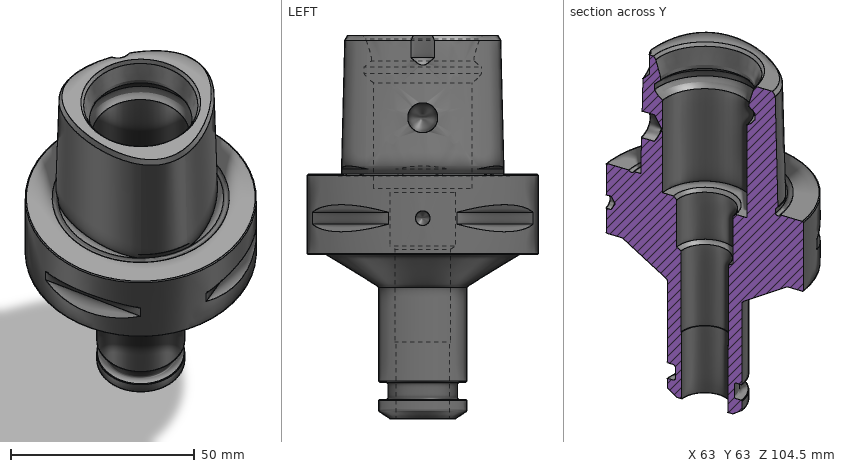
import cadquery as cq
import math

total_height = 104.5
flange_bottom_z = 44.7
flange_top_z = 66.7
taper_bottom_z = 68.9
taper_top_z = 103.1

lobe_mean_radius = 21.9
lobe_offset = 1.5
taper_per_height = 1 / 40
top_chamfer_inset = 0.8
lobe_half_angle = 20
points_per_stretch = 9

flange_radius = 63.0 / 2
flange_edge_chamfer = 0.3
relief_outer_radius = 24.1
relief_inner_radius = 22.6
relief_depth = 0.5
relief_chamfer = 0.8

cone_top_radius = 26.3
cone_bottom_radius = 12.5
cone_bottom_z = 36.3
pilot_radius = 24 / 2
pilot_start_z = 35.7
pilot_end_chamfer = 0.3
neck_radius = 9.5
neck_bottom_z = 5.2
neck_top_z = 9.9
neck_corner = 0.5
head_edge_chamfer = 0.2
head_round_radius = 0.8
head_round_top_z = 2.4
head_round_inset = 0.4
head_round_bottom_z = 1.8
head_end_radius = 17.9 / 2

gripper_count = 4
gripper_mid_z = 54.7
gripper_floor_distance = 27.9
gripper_floor_height = 3.2
gripper_flank_angle = 30

lip_chamfer_radius = 16.3
mouth_radius = 15.6
mouth_z = 103.6
lip_radius = 28.0 / 2
lip_top_z = 98.5
lip_bottom_z = 97.5
clamp_groove_radius = 32.0 / 2
clamp_groove_top_z = 95.8
clamp_groove_bottom_z = 94.0
clamp_flank_radius = 14.9
clamp_flank_z = 92.7
bore_radius = 13.4
bore_top_z = 91.5
bore_floor_z = 62.7
screw_mouth_radius = 9.9
screw_hole_radius = 17.9 / 2
screw_hole_bottom_z = 47.0
upper_through_radius = 15.0 / 2
lower_through_radius = 7.3
through_step_z = 20.9

drill_tip_angle = 118
key_hole_diameter = 8.2
key_hole_z = 82.0
key_hole_bottom_x = -16.1
mark_hole_diameter = 4.0
mark_hole_z = gripper_mid_z
mark_hole_bottom_x = -29.9
notch_diameter = 7.4
notch_axis_x = -21.4
notch_bottom_z = 98.4
notch_tip_angle = 90


def lobe_point(mean_radius, angle_deg, z):
    """Point on the three-lobed outline, with one lobe pointing along +X."""
    angle = math.radians(angle_deg)
    x = mean_radius * math.cos(angle) + lobe_offset * math.cos(2 * angle)
    y = mean_radius * math.sin(angle) - lobe_offset * math.sin(2 * angle)
    return cq.Vector(x, y, z)


def lobe_wire(mean_radius, z):
    """Closed outline made of three lobes and the three flatter stretches between them."""
    edges = []
    for lobe_angle in (0, 120, 240):
        lobe_start = lobe_angle - lobe_half_angle
        lobe_end = lobe_angle + lobe_half_angle
        for start, end in ((lobe_start, lobe_end), (lobe_end, lobe_start + 120)):
            step = (end - start) / (points_per_stretch - 1)
            points = [lobe_point(mean_radius, start + i * step, z) for i in range(points_per_stretch)]
            edges.append(cq.Edge.makeSpline(points))
    return cq.Wire.assembleEdges(edges)


def lobe_loft(bottom_radius, bottom_z, top_radius, top_z):
    wires = [lobe_wire(bottom_radius, bottom_z), lobe_wire(top_radius, top_z)]
    return cq.Workplane(cq.Solid.makeLoft(wires, True))


def revolve_profile(profile):
    return profile.close().revolve(360, (0, 0, 0), (0, 1, 0))


def make_taper_shank():
    top_radius = lobe_mean_radius - (taper_top_z - taper_bottom_z) * taper_per_height
    root = lobe_loft(lobe_mean_radius, flange_bottom_z, lobe_mean_radius, taper_bottom_z)
    taper = lobe_loft(lobe_mean_radius, taper_bottom_z, top_radius, taper_top_z)
    chamfer = lobe_loft(top_radius, taper_top_z, top_radius - top_chamfer_inset, total_height)
    return root.union(taper).union(chamfer)


def make_relief_cutter():
    """Ring that rounds the foot of the lobes and dips into the flange top."""
    outer_top_radius = relief_outer_radius + (taper_bottom_z - flange_top_z)
    profile = (
        cq.Workplane("XZ")
        .moveTo(relief_inner_radius, flange_top_z)
        .threePointArc(
            ((relief_inner_radius + relief_outer_radius) / 2, flange_top_z - relief_depth),
            (relief_outer_radius, flange_top_z),
        )
        .lineTo(outer_top_radius, taper_bottom_z)
        .lineTo(relief_inner_radius + relief_chamfer, taper_bottom_z)
        .lineTo(relief_inner_radius, taper_bottom_z - relief_chamfer)
    )
    return revolve_profile(profile)


def make_flange_and_pilot():
    flange_inset = flange_radius - flange_edge_chamfer
    profile = (
        cq.Workplane("XZ")
        .lineTo(head_end_radius, 0)
        .lineTo(pilot_radius - head_round_inset, head_round_bottom_z)
        .radiusArc((pilot_radius, head_round_top_z), -head_round_radius)
        .lineTo(pilot_radius, neck_bottom_z - head_edge_chamfer)
        .lineTo(pilot_radius - head_edge_chamfer, neck_bottom_z)
        .lineTo(neck_radius + neck_corner, neck_bottom_z)
        .radiusArc((neck_radius, neck_bottom_z + neck_corner), neck_corner)
        .lineTo(neck_radius, neck_top_z - neck_corner)
        .radiusArc((neck_radius + neck_corner, neck_top_z), neck_corner)
        .lineTo(pilot_radius - pilot_end_chamfer, neck_top_z)
        .lineTo(pilot_radius, neck_top_z + pilot_end_chamfer)
        .lineTo(pilot_radius, pilot_start_z)
        .lineTo(cone_bottom_radius, cone_bottom_z)
        .lineTo(cone_top_radius, flange_bottom_z)
        .lineTo(flange_inset, flange_bottom_z)
        .lineTo(flange_radius, flange_bottom_z + flange_edge_chamfer)
        .lineTo(flange_radius, flange_top_z - flange_edge_chamfer)
        .lineTo(flange_inset, flange_top_z)
        .lineTo(0, flange_top_z)
    )
    return revolve_profile(profile)


def make_bore():
    screw_mouth_z = bore_floor_z - (screw_mouth_radius - screw_hole_radius)
    tip_slope = math.tan(math.radians(drill_tip_angle / 2))
    through_top_z = screw_hole_bottom_z - (screw_hole_radius - upper_through_radius) / tip_slope
    profile = (
        cq.Workplane("XZ")
        .lineTo(lower_through_radius, 0)
        .lineTo(lower_through_radius, through_step_z)
        .lineTo(upper_through_radius, through_step_z)
        .lineTo(upper_through_radius, through_top_z)
        .lineTo(screw_hole_radius, screw_hole_bottom_z)
        .lineTo(screw_hole_radius, screw_mouth_z)
        .lineTo(screw_mouth_radius, bore_floor_z)
        .lineTo(bore_radius, bore_floor_z)
        .lineTo(bore_radius, bore_top_z)
        .lineTo(clamp_flank_radius, clamp_flank_z)
        .lineTo(clamp_groove_radius, clamp_groove_bottom_z)
        .lineTo(clamp_groove_radius, clamp_groove_top_z)
        .lineTo(lip_radius, lip_bottom_z)
        .lineTo(lip_radius, lip_top_z)
        .lineTo(mouth_radius, mouth_z)
        .lineTo(lip_chamfer_radius, total_height)
        .lineTo(0, total_height)
    )
    return revolve_profile(profile)


def make_gripper_groove():
    """Flat-floored groove with sloping flanks, cut straight across the +X side of the flange."""
    depth = flange_radius - gripper_floor_distance
    half_floor = gripper_floor_height / 2
    half_mouth = half_floor + depth * math.tan(math.radians(gripper_flank_angle))
    return (
        cq.Workplane("XZ")
        .moveTo(gripper_floor_distance, gripper_mid_z - half_floor)
        .lineTo(flange_radius, gripper_mid_z - half_mouth)
        .lineTo(flange_radius, gripper_mid_z + half_mouth)
        .lineTo(gripper_floor_distance, gripper_mid_z + half_floor)
        .close()
        .extrude(flange_radius, both=True)
    )


def make_drill(diameter, length, tip_point, direction, tip_angle=drill_tip_angle):
    """Cylinder with a conical drill tip; tip_point is where the full diameter ends."""
    radius = diameter / 2
    tip_length = radius / math.tan(math.radians(tip_angle / 2))
    body = cq.Solid.makeCylinder(radius, length, tip_point, direction * -1)
    tip = cq.Solid.makeCone(radius, 0, tip_length, tip_point, direction)
    return cq.Workplane(body.fuse(tip))


toward_axis = cq.Vector(1, 0, 0)
downward = cq.Vector(0, 0, -1)

key_hole_point = cq.Vector(key_hole_bottom_x, 0, key_hole_z)
key_hole = make_drill(key_hole_diameter, flange_radius, key_hole_point, toward_axis)
mark_hole_point = cq.Vector(mark_hole_bottom_x, 0, mark_hole_z)
mark_hole = make_drill(mark_hole_diameter, flange_radius, mark_hole_point, toward_axis)
notch_point = cq.Vector(notch_axis_x, 0, notch_bottom_z)
notch = make_drill(notch_diameter, total_height, notch_point, downward, notch_tip_angle)

result = make_taper_shank().union(make_flange_and_pilot()).cut(make_relief_cutter()).cut(make_bore())

gripper_groove = make_gripper_groove()
gripper_pitch = 360 / gripper_count
for i in range(gripper_count):
    groove_angle = (i + 0.5) * gripper_pitch
    result = result.cut(gripper_groove.rotate((0, 0, 0), (0, 0, 1), groove_angle))

for drill in (key_hole, mark_hole, notch):
    result = result.cut(drill)